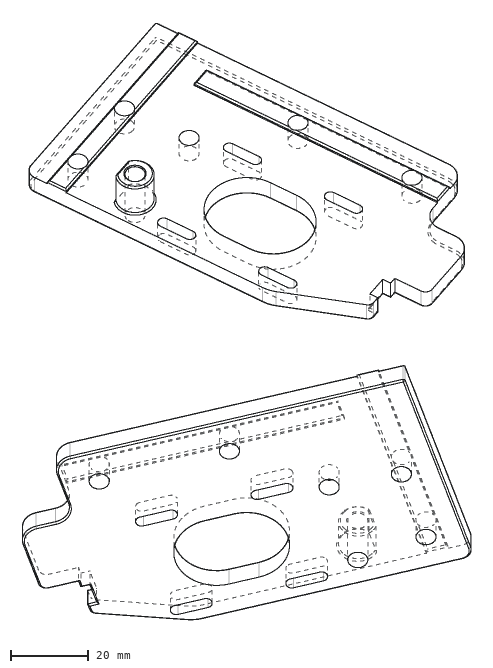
import cadquery as cq


plate_length = 110.0
plate_width = 62.0
plate_thickness = 5.9
bottom_chamfer = 0.5
near_left_radius = 3.1
far_left_radius = 0.5

shoulder_x = 94.8
tab_bottom_y = 21.2
tab_top_y = 42.0
shoulder_radius = 5.0
tab_lower_radius = 2.1
notch_face_x = 99.9
notch_floor_x = 97.5
notch_bottom_y = 13.2
notch_top_y = 19.2
slope_start_x = 75.0
slope_end_y = 10.0
slope_start_radius = 10.0
slope_end_radius = 1.8

rib_inset = 9.9
rib_width = 5.8
rib_height = 1.0
rib_chamfer = 0.5
long_rib_start_x = 20.0
rib_hole_diameter = 5.2
cross_rib_hole_ys = (10.0, 32.0)
long_rib_hole_xs = (50.0, 85.0)

motor_x = 59.0
motor_y = 20.6
motor_travel = 8.0
motor_bore = 22.1
screw_spacing = 31.0
screw_slot_width = 3.1

pin_x = 28.9
pin_y = 7.7
pin_radius = 5.0
pin_flat_offset = 4.0
pin_top_z = 16.0
pin_chamfer = 0.5
pin_bore = 5.2
pin_bore_chamfer = 0.28
plain_hole_y = 33.2
plain_hole_diameter = 5.2

long_rib_y = plate_width - rib_inset


def vertical_edge(x, y):
    """Selector for the upright plate edge at (x, y)."""
    reach = 0.1
    return cq.selectors.BoxSelector(
        (x - reach, y - reach, 0), (x + reach, y + reach, plate_thickness)
    )


def make_plate():
    corners = [
        (0, 0),
        (slope_start_x, 0),
        (notch_face_x, slope_end_y),
        (notch_face_x, notch_bottom_y),
        (notch_floor_x, notch_bottom_y),
        (notch_floor_x, notch_top_y),
        (notch_face_x, notch_top_y),
        (notch_face_x, tab_bottom_y),
        (plate_length, tab_bottom_y),
        (plate_length, tab_top_y),
        (shoulder_x, tab_top_y),
        (shoulder_x, plate_width),
        (0, plate_width),
    ]
    rounded_corners = [
        (0, 0, near_left_radius),
        (slope_start_x, 0, slope_start_radius),
        (notch_face_x, slope_end_y, slope_end_radius),
        (plate_length, tab_bottom_y, tab_lower_radius),
        (plate_length, tab_top_y, shoulder_radius),
        (shoulder_x, tab_top_y, shoulder_radius),
        (shoulder_x, plate_width, shoulder_radius),
        (0, plate_width, far_left_radius),
    ]
    plate = cq.Workplane("XY").polyline(corners).close().extrude(plate_thickness)
    for x, y, radius in rounded_corners:
        plate = plate.edges(vertical_edge(x, y)).fillet(radius)
    return plate.faces("<Z").edges().chamfer(bottom_chamfer)


def make_rib(length_x, length_y, centre_x, centre_y):
    return (
        cq.Workplane("XY", origin=(centre_x, centre_y, plate_thickness))
        .rect(length_x, length_y)
        .extrude(rib_height)
        .faces(">Z")
        .edges()
        .chamfer(rib_chamfer)
    )


def make_pin():
    """Round pin flared at its base, flattened on its -X side and chamfered on top."""
    pin_height = pin_top_z - plate_thickness
    base_radius = pin_radius + pin_chamfer
    blank = (
        cq.Workplane("XZ")
        .polyline(
            [
                (0, 0),
                (base_radius, 0),
                (pin_radius, pin_chamfer),
                (pin_radius, pin_height),
                (0, pin_height),
            ]
        )
        .close()
        .revolve(360, (0, 0), (0, 1))
    )
    flat_keeper = cq.Workplane("XY").box(
        pin_flat_offset + base_radius, 2 * base_radius, pin_height, centered=(False, True, False)
    ).translate((-pin_flat_offset, 0, 0))
    pin = blank.intersect(flat_keeper).faces(">Z").edges().chamfer(pin_chamfer)
    return pin.translate((pin_x, pin_y, plate_thickness))


def round_cut(points, diameter):
    return cq.Workplane("XY").pushPoints(points).circle(diameter / 2).extrude(pin_top_z)


def slot_cut(points, width):
    """Slots along X that let the motor slide by its travel."""
    return cq.Workplane("XY").pushPoints(points).slot2D(motor_travel + width, width).extrude(pin_top_z)


def pin_bore_countersink():
    mouth_radius = pin_bore / 2 + pin_bore_chamfer
    return cq.Workplane("XY").add(
        cq.Solid.makeCone(
            mouth_radius, pin_bore / 2, pin_bore_chamfer,
            pnt=cq.Vector(pin_x, pin_y, pin_top_z), dir=cq.Vector(0, 0, -1),
        )
    )


cross_rib = make_rib(rib_width, plate_width, rib_inset, plate_width / 2)
long_rib_length = shoulder_x - long_rib_start_x
long_rib = make_rib(long_rib_length, rib_width, shoulder_x - long_rib_length / 2, long_rib_y)

rib_holes = [(rib_inset, y) for y in cross_rib_hole_ys]
rib_holes += [(x, long_rib_y) for x in long_rib_hole_xs]
screw_slots = [
    (motor_x + side_x * screw_spacing / 2, motor_y + side_y * screw_spacing / 2)
    for side_x in (-1, 1)
    for side_y in (-1, 1)
]

result = make_plate().union(cross_rib).union(long_rib).union(make_pin())
result = (
    result.cut(round_cut(rib_holes, rib_hole_diameter))
    .cut(round_cut([(pin_x, plain_hole_y)], plain_hole_diameter))
    .cut(round_cut([(pin_x, pin_y)], pin_bore))
    .cut(pin_bore_countersink())
    .cut(slot_cut([(motor_x, motor_y)], motor_bore))
    .cut(slot_cut(screw_slots, screw_slot_width))
)